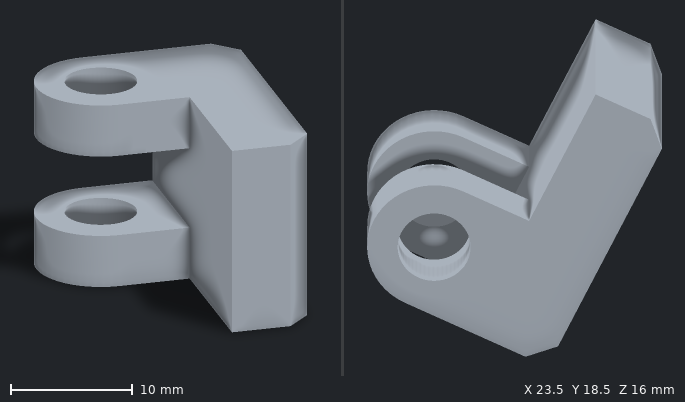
import cadquery as cq

plate_length = 23.5
plate_thickness = 7.0
height = 16.0
corner_chamfer = 2.0
lug_width = 11.0
depth = 18.5
hole_diameter = 6.0
slot_height = 7.0

lug_radius = lug_width / 2
pin_x = lug_radius
pin_y = lug_radius - depth


def make_plate():
    """Rear plate with chamfered rear corners."""
    plate = cq.Workplane("XY").box(plate_length, plate_thickness, height, centered=False)
    plate = plate.translate((0, -plate_thickness, 0))
    return plate.edges("|Z and >Y").chamfer(corner_chamfer)


def make_lug_block():
    """Round-ended arm, flush with the left end of the plate."""
    return (
        cq.Workplane("XY")
        .moveTo(0, -plate_thickness)
        .lineTo(0, pin_y)
        .threePointArc((pin_x, -depth), (lug_width, pin_y))
        .lineTo(lug_width, -plate_thickness)
        .close()
        .extrude(height)
    )


def make_slot():
    """Centred gap that splits the arm into two lugs, down to the plate face."""
    slot_depth = depth - plate_thickness
    return (
        cq.Workplane("XY")
        .box(lug_width, slot_depth, slot_height, centered=False)
        .translate((0, -depth, (height - slot_height) / 2))
    )


def make_pin_hole():
    """Pin hole through both lugs."""
    return cq.Workplane("XY").center(pin_x, pin_y).circle(hole_diameter / 2).extrude(height)


lugs = make_lug_block().cut(make_slot()).cut(make_pin_hole())
result = make_plate().union(lugs)